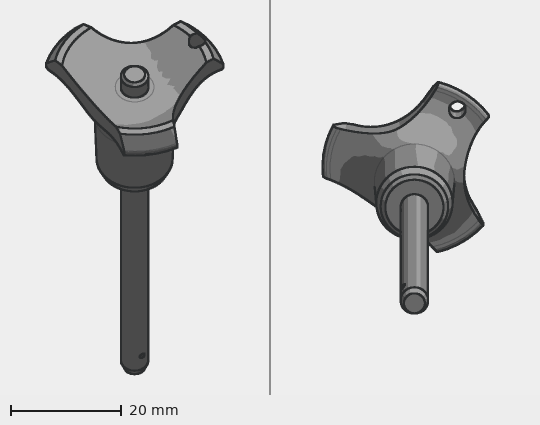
import cadquery as cq
import math

total_length = 82.7
handle_height = 26.7

rim_radius = 16.62
rim_band_top_z = -2.95
rim_shoulder_radius = 16.47
rim_shoulder_z = -2.5
rim_bottom_z = -4.0
rim_bottom_fillet = 0.7
rim_top_radius = 14.65
dish_radius = 13.2
dish_floor_radius = 3.5
dish_floor_z = -4.1
dish_mid_radius = 9.2
dish_mid_z = -2.3

neck_radius = 7.25
neck_z = -12.0
flare_radius = rim_bottom_z - neck_z
body_bottom_radius = 6.9
body_bottom_z = -24.2
collar_radius = 6.1
collar_z = -26.2
foot_radius = 5.25

front_scallop_radius = 51.0
front_scallop_depth_y = -9.2
side_scallop_radius = 15.3
side_scallop_reach = 9.0
side_scallop_angle = 148.0

lanyard_hole_diameter = 3.0
lanyard_hole_y = 13.65

button_radius = 2.5
button_top_z = -0.5
button_chamfer = 0.6

shank_radius = 2.5
tip_radius = 1.9
tip_length = 1.7
ball_radius = 0.7
ball_protrusion = 0.2
ball_z = -77.3


def make_handle():
    """Revolved handle: dished head, concave flare, tapered body and rounded foot."""
    flare_centre_r = neck_radius + flare_radius
    flare_offset = flare_radius * math.sqrt(0.5)
    return (
        cq.Workplane("XZ")
        .moveTo(0, -handle_height)
        .lineTo(foot_radius, -handle_height)
        .lineTo(collar_radius, collar_z)
        .lineTo(body_bottom_radius, body_bottom_z)
        .lineTo(neck_radius, neck_z)
        .threePointArc(
            (flare_centre_r - flare_offset, neck_z + flare_offset),
            (flare_centre_r, rim_bottom_z),
        )
        .lineTo(rim_radius - rim_bottom_fillet, rim_bottom_z)
        .tangentArcPoint((rim_radius, rim_bottom_z + rim_bottom_fillet), relative=False)
        .lineTo(rim_radius, rim_band_top_z)
        .tangentArcPoint((rim_shoulder_radius, rim_shoulder_z), relative=False)
        .lineTo(rim_top_radius, 0)
        .lineTo(dish_radius, 0)
        .threePointArc((dish_mid_radius, dish_mid_z), (dish_floor_radius, dish_floor_z))
        .lineTo(0, dish_floor_z)
        .close()
        .revolve(360, (0, 0, 0), (0, 1, 0))
    )


def scallop_cutter(x, y, radius):
    """Vertical cylinder that cuts one scallop through the full handle height."""
    return cq.Workplane("XY").center(x, y).circle(radius).extrude(-handle_height)


def cut_scallops(handle):
    front_y = front_scallop_depth_y - front_scallop_radius
    handle = handle.cut(scallop_cutter(0, front_y, front_scallop_radius))
    distance = side_scallop_reach + side_scallop_radius
    side_x = distance * math.cos(math.radians(side_scallop_angle))
    side_y = distance * math.sin(math.radians(side_scallop_angle))
    for side in (-1, 1):
        handle = handle.cut(scallop_cutter(side * side_x, side_y, side_scallop_radius))
    return handle


def cut_lanyard_hole(handle):
    hole = (
        cq.Workplane("XY")
        .center(0, lanyard_hole_y)
        .circle(lanyard_hole_diameter / 2)
        .extrude(-handle_height)
    )
    return handle.cut(hole)


def make_button():
    height = button_top_z - dish_floor_z
    return (
        cq.Workplane("XY", origin=(0, 0, dish_floor_z))
        .circle(button_radius)
        .extrude(height)
        .faces(">Z")
        .chamfer(button_chamfer)
    )


def make_shank():
    length = total_length - handle_height
    return (
        cq.Workplane("XY", origin=(0, 0, -handle_height))
        .circle(shank_radius)
        .extrude(-length)
        .faces("<Z")
        .chamfer(tip_length, shank_radius - tip_radius)
    )


def make_balls():
    """Pair of locking balls on opposite sides of the shank, each standing slightly proud."""
    centre_x = shank_radius + ball_protrusion - ball_radius
    balls = cq.Workplane("XY", origin=(0, 0, ball_z)).pushPoints([(-centre_x, 0), (centre_x, 0)])
    return balls.sphere(ball_radius)


handle = cut_lanyard_hole(cut_scallops(make_handle()))
result = handle.union(make_button()).union(make_shank()).union(make_balls())